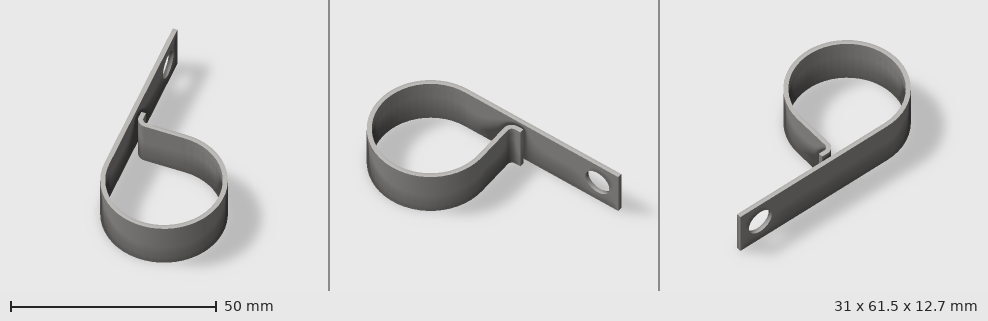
import cadquery as cq
import math

total_length = 61.5
strap_width = 12.7
thickness = 1.2
loop_radius = 15.5
hole_diameter = 7.15
hole_end_distance = 6.3
lip_left_x = -13.05
lip_end_y = 18.4
bend_inner_radius = 1.2

bore_radius = loop_radius - thickness
bend_outer_radius = bend_inner_radius + thickness
leg_end_y = total_length - loop_radius
bend_x = lip_left_x + bend_outer_radius
bend_y = bore_radius + bend_outer_radius
lip_right_x = lip_left_x + thickness
diagonal = math.sqrt(0.5)


def make_strap():
    """Bent strip: long leg, three-quarter loop, short straight and upturned lip."""
    profile = (
        cq.Workplane("XY")
        .moveTo(-loop_radius, leg_end_y)
        .lineTo(-loop_radius, 0)
        .threePointArc((loop_radius * diagonal, -loop_radius * diagonal), (0, loop_radius))
        .lineTo(bend_x, loop_radius)
        .threePointArc(
            (bend_x - bend_inner_radius * diagonal, bend_y - bend_inner_radius * diagonal),
            (lip_right_x, bend_y),
        )
        .lineTo(lip_right_x, lip_end_y)
        .lineTo(lip_left_x, lip_end_y)
        .lineTo(lip_left_x, bend_y)
        .threePointArc(
            (bend_x - bend_outer_radius * diagonal, bend_y - bend_outer_radius * diagonal),
            (bend_x, bore_radius),
        )
        .lineTo(0, bore_radius)
        .threePointArc((bore_radius * diagonal, -bore_radius * diagonal), (-bore_radius, 0))
        .lineTo(-bore_radius, leg_end_y)
        .close()
    )
    return profile.extrude(strap_width / 2, both=True)


def make_hole_cutter():
    """Cylinder along X that passes through the long leg only."""
    return (
        cq.Workplane("YZ", origin=(-loop_radius, 0, 0))
        .center(leg_end_y - hole_end_distance, 0)
        .circle(hole_diameter / 2)
        .extrude(thickness)
    )


result = make_strap().cut(make_hole_cutter())